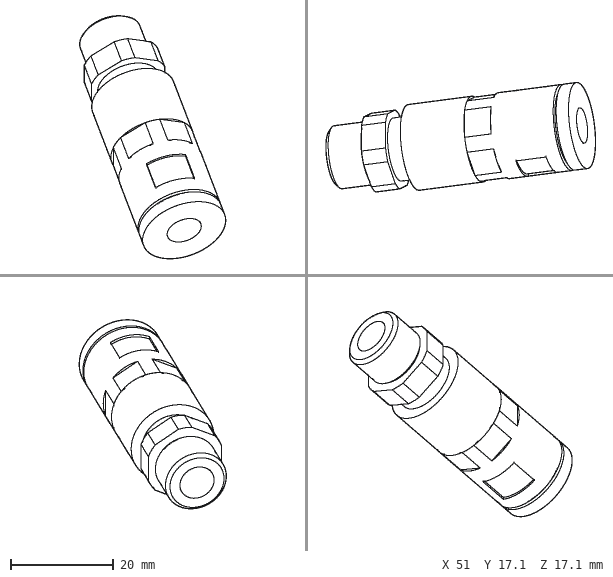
import cadquery as cq
import math

total_length = 51.0
nut_start = 8.0
nut_end = 12.95
body_start = 16.3
sleeve_start = 29.45
flats_end = 34.9
recess_start = 38.65
recess_end = 44.9
groove_start = 47.85
groove_end = 48.45

bore_diameter = 7.0
neck_diameter = 12.5
body_diameter = 17.0
sleeve_diameter = 17.05
groove_diameter = 15.0
recess_floor_diameter = 16.05

nut_across_flats = 15.0
nut_corner_diameter = 15.95
sleeve_across_flats = 16.0
end_chamfer = 0.7
inner_chamfer = 0.55
recess_width = 7.95


def cylinder(start, end, diameter):
    """Round bar along X between two stations."""
    return cq.Workplane("YZ", origin=(start, 0, 0)).circle(diameter / 2).extrude(end - start)


def hexagon(start, end, across_flats):
    """Hexagonal bar along X with one pair of flats facing +Y and -Y."""
    across_corners = across_flats / math.cos(math.pi / 6)
    bar = cq.Workplane("XY").polygon(6, across_corners).extrude(end - start)
    bar = bar.rotate((0, 0, 0), (0, 0, 1), 30)
    bar = bar.rotate((0, 0, 0), (1, 1, 1), 120)
    return bar.translate((start, 0, 0))


spigot = cylinder(0, nut_start, neck_diameter)
spigot = spigot.faces("<X").chamfer(end_chamfer)
spigot = spigot.faces(">X").chamfer(inner_chamfer)
neck = cylinder(nut_end, body_start, neck_diameter)

nut = hexagon(nut_start, nut_end, nut_across_flats)
nut = nut.intersect(cylinder(nut_start, nut_end, nut_corner_diameter))

body = cylinder(body_start, sleeve_start, body_diameter)

wrench_section = hexagon(sleeve_start, flats_end, sleeve_across_flats)
wrench_section = wrench_section.intersect(cylinder(sleeve_start, flats_end, sleeve_diameter))
sleeve = cylinder(flats_end, groove_start, sleeve_diameter)
groove_core = cylinder(groove_start, groove_end, groove_diameter)
end_ring = cylinder(groove_end, total_length, sleeve_diameter)

recess_length = recess_end - recess_start
recess_center = (recess_start + recess_end) / 2
recesses = cq.Workplane("XY").box(recess_length, recess_width, sleeve_diameter)
recesses = recesses.translate((recess_center, 0, 0))
recesses = recesses.cut(cylinder(recess_start, recess_end, recess_floor_diameter))
sleeve = sleeve.cut(recesses)

result = spigot
for section in (nut, neck, body, wrench_section, sleeve, groove_core, end_ring):
    result = result.union(section)
result = result.cut(cylinder(0, total_length, bore_diameter))